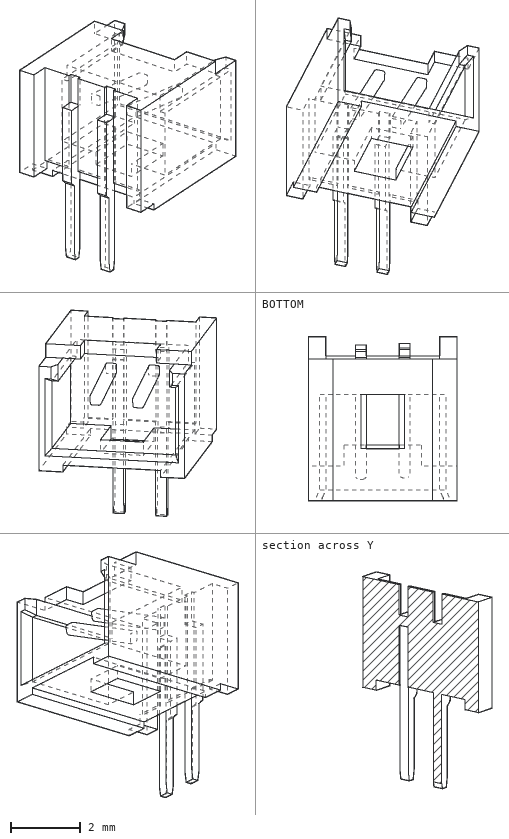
import cadquery as cq


width = 4.25
depth = 4.7
height = 3.5
side_wall = 0.5
rear_face_y = 0.55
groove_depth = 0.095
foot_face_y = rear_face_y + groove_depth
rear_wall_bottom = -3.0
standoff = 0.2
underside = standoff - height
foot_width = 0.7

ceiling = 0.4
roof_end_y = 3.7
notch_width = 2.22
notch_end_y = 3.1
cavity_rear_y = 1.65
cavity_floor = -2.9
cavity_half = width / 2 - side_wall
key_depth = 0.18
key_top = -0.9
lead_in_length = 0.31
lead_in_offset = 0.145
window_end_y = 3.2

pitch = 1.25
pin_width = 0.315
pin_top = -0.9
pin_bottom = -5.8
contact_slope = 8
contact_length = 3.49
shank_thickness = 0.405
leg_thickness = 0.27
shank_bottom = -3.26
leg_tip_length = 0.3
leg_tip_inset = 0.045
root_length = 0.8
pin_edge_radius = 0.055
pin_tip_radius = 0.13
stagger = 0.045


def block(x_range, y_range, z_range):
    """Axis-aligned box between pairs of limits."""
    size = [limits[1] - limits[0] for limits in (x_range, y_range, z_range)]
    return cq.Workplane("XY").box(*size, centered=False).translate((x_range[0], y_range[0], z_range[0]))


def centered_block(x_width, y_range, z_range):
    return block((-x_width / 2, x_width / 2), y_range, z_range)


def cavity_section(workplane, offset):
    """Cavity cross-section with side keyways, enlarged by offset on its walls, ledges and floor."""
    half = cavity_half + offset
    key_half = half + key_depth
    ledge = key_top + offset
    floor = cavity_floor - offset
    return workplane.polyline([
        (-half, -ceiling),
        (half, -ceiling),
        (half, ledge),
        (key_half, ledge),
        (key_half, floor),
        (-key_half, floor),
        (-key_half, ledge),
        (-half, ledge),
    ]).close()


def make_cavity():
    lead_in_y = depth - lead_in_length
    straight = cavity_section(cq.Workplane("XZ", origin=(0, lead_in_y, 0)), 0)
    straight = straight.extrude(lead_in_y - cavity_rear_y)
    lead_in = cavity_section(cq.Workplane("XZ", origin=(0, lead_in_y, 0)), 0)
    lead_in = cavity_section(lead_in.workplane(offset=-lead_in_length), lead_in_offset)
    return straight.union(lead_in.loft(ruled=True))


def make_housing():
    inner_width = 2 * cavity_half
    body = centered_block(width, (0, depth), (-height, 0))

    body = body.cut(centered_block(inner_width, (0, rear_face_y), (-height, 0)))
    body = body.cut(centered_block(inner_width, (0, foot_face_y), (-height, rear_wall_bottom)))

    body = body.cut(centered_block(width - 2 * foot_width, (0, depth), (-height, underside)))
    body = body.cut(centered_block(width, (0, foot_face_y), (-height, underside)))

    body = body.cut(centered_block(width, (roof_end_y, depth), (-ceiling, 0)))
    body = body.cut(centered_block(notch_width, (notch_end_y, roof_end_y), (-ceiling, 0)))
    body = body.cut(make_cavity())
    body = body.cut(centered_block(pitch, (cavity_rear_y, window_end_y), (-height, cavity_floor)))

    for side in (-1, 1):
        groove = centered_block(pin_width, (rear_face_y, foot_face_y), (-height, 0))
        body = body.cut(groove.translate((side * pitch / 2, 0, 0)))
    return body


def make_pin():
    """Right-angle pin centred on X = 0, with the back of its leg on the groove floor."""
    back = foot_face_y
    shank_front = back - shank_thickness
    leg_front = back - leg_thickness
    tip_start = pin_bottom + leg_tip_length
    slope_bottom = shank_bottom - (leg_front - shank_front)
    leg = cq.Workplane("YZ").polyline([
        (back, pin_top),
        (back, tip_start),
        (back - leg_tip_inset, pin_bottom),
        (leg_front + leg_tip_inset, pin_bottom),
        (leg_front, tip_start),
        (leg_front, slope_bottom),
        (shank_front, shank_bottom),
        (shank_front, pin_top),
    ]).close().extrude(pin_width / 2, both=True)

    contact_z_range = (pin_top - pin_width, pin_top)
    root_end = back + root_length
    root = centered_block(pin_width, (back, root_end), contact_z_range)
    contact = centered_block(pin_width, (root_end, back + contact_length), contact_z_range)
    contact = contact.edges("|Y").fillet(pin_edge_radius)
    contact = contact.faces(">Y").edges().fillet(pin_tip_radius)
    bend = cq.Vector(0, back, pin_top)
    contact = root.union(contact).rotate(bend, bend + cq.Vector(1, 0, 0), -contact_slope)
    return leg.union(contact)


result = make_housing()
for side, shift in ((-1, 0), (1, -stagger)):
    result = result.union(make_pin().translate((side * pitch / 2, shift, 0)))